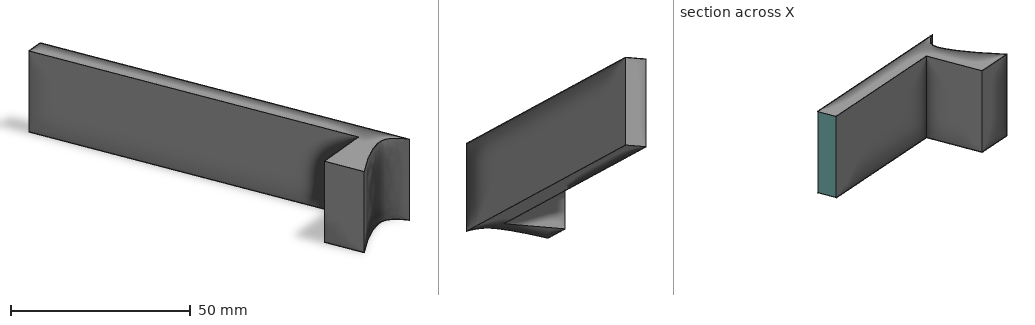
import cadquery as cq

length = 120.2
depth = 24.4
height = 25.0

arm_thickness = 6.1
foot_width = 13.0

hollow_depth = 6.2
throat_y = 18.7
front_control_y = 12.7
back_control_y = 22.7

arm_front = depth - arm_thickness
foot_left = length - foot_width
throat_x = length - hollow_depth

front_tip = (length, 0)
throat = (throat_x, throat_y)
back_tip = (length, depth)

outline = (
    cq.Workplane("XY")
    .moveTo(*back_tip)
    .lineTo(0, depth)
    .lineTo(0, arm_front)
    .lineTo(foot_left, arm_front)
    .lineTo(foot_left, 0)
    .lineTo(*front_tip)
    .bezier([front_tip, (throat_x, front_control_y), throat])
    .bezier([throat, (throat_x, back_control_y), back_tip])
    .close()
)

result = outline.extrude(height)